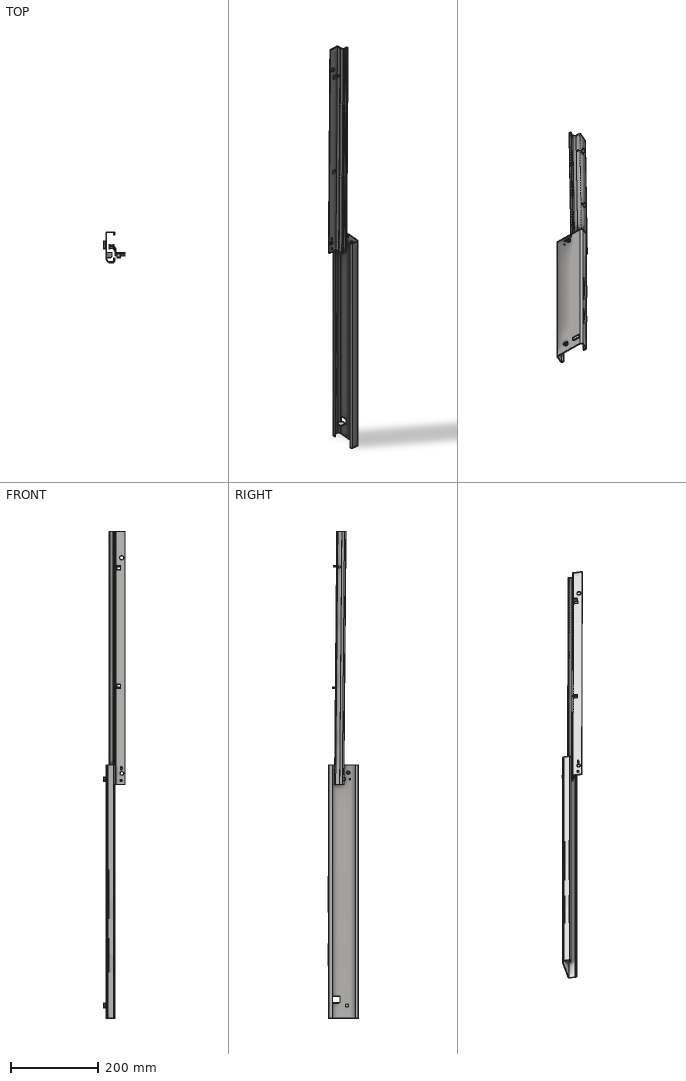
import cadquery as cq
import math

TOTAL_X = 49.43
TOTAL_Y = 70.8
TOTAL_Z = 1115.01

RAIL_LENGTH = 580.0
RAIL_X = 5.8
RAIL_DEPTH = 20.2
RAIL_WALL = 1.5
LIP_THICKNESS = 2.8
UPPER_LIP_REACH = 7.0
LOWER_LIP_REACH = 10.5
BEND_RADIUS = 2.6
BEVEL_X = 3.6
BEVEL_Y = 6.5
RAIL_INNER_X = RAIL_X + RAIL_WALL
RAIL_OPEN_X = RAIL_X + RAIL_DEPTH

PAD_PROFILES = [
    (228.0, 268.0, 302.0, 339.0),
    (106.0, 145.0, 148.0, 183.0),
]
PAD_HEIGHT = 1.7
PAD_X = 13.0
PAD_WIDTH = 10.2
FLANGE_Y = PAD_HEIGHT

STUDS = [
    (37.0, 547.5),
    (44.0, 29.5),
]
STUD_HEAD_DIAMETER = 11.0
STUD_HEAD_THICKNESS = 3.0
STUD_NECK_DIAMETER = 7.5
STUD_RECESS_DIAMETER = 5.0
STUD_RECESS_DEPTH = 1.0

UPPER_HOLE_DIAMETER = 4.0
UPPER_SINK_DIAMETER = 7.5
UPPER_SINK_DEPTH = 1.0
UPPER_HOLE_Y = 47.0
UPPER_HOLE_Z = 562.5
PIN_HOLE_DIAMETER = 3.0
PIN_HOLE_Y = 50.5
PIN_HOLE_Z = 547.5
NOTCH_Y = 33.7
NOTCH_WIDTH = 3.5
NOTCH_DEPTH = 10.0

WINDOW_Y = 11.0
WINDOW_WIDTH = 16.5
WINDOW_Z = 36.5
WINDOW_HEIGHT = 13.5
STOP_WIDTH = 13.0
STOP_THICKNESS = 2.6
STOP_REACH = 14.0
STOP_CHAMFER = 4.0

TILT_DEGREES = 0.5
INNER_FOOT_Y = 15.4
INNER_FOOT_Z = 535.0
INNER_LENGTH = (TOTAL_Z - INNER_FOOT_Z) / math.cos(math.radians(TILT_DEGREES))
PROFILE_HEIGHT = 21.4
HEAD_X = 12.6
HEAD_THICKNESS = 2.6
HEAD_HEIGHT = 5.0
WEB_Y = 17.2
SHEET = 2.6
UPRIGHT_X = 22.0
SLOPE_TOP_Y = 17.0
SLOPE_FOOT_Y = 11.0
WALL_X = 26.2
FOOT_BEND_RADIUS = 3.0

PLATE_HOLES = [
    (9.0, 41.5, 519.5),
    (8.0, 42.0, 26.0),
    (4.0, 40.5, 9.5),
]
SLOT_X = 41.0
SLOT_ALONG = 37.5
SLOT_LENGTH = 6.5
SLOT_WIDTH = 3.0

LANCED_TABS = [
    (498.5, 492.0),
    (220.0, 223.2),
]
TAB_X = 30.5
TAB_WIDTH = 8.5
TAB_THICKNESS = 3.2
TAB_REACH = 6.5
TAB_OPENING_LENGTH = 6.5

WALL_OPENING_Y = 4.5
WALL_OPENING_ALONG = 496.5
WALL_OPENING_SIZE = 4.0


def box(x, y, z, size_x, size_y, size_z):
    """A box from its lowest corner and its sizes."""
    return cq.Workplane("XY").box(size_x, size_y, size_z, centered=False).translate((x, y, z))


def x_cylinder(diameter, y, z, x, length):
    """A cylinder along +X."""
    return cq.Workplane("YZ", origin=(x, y, z)).circle(diameter / 2).extrude(length)


def channel():
    """The rolled C section along the whole outer rail."""
    lip_x = RAIL_OPEN_X - LIP_THICKNESS
    inner_bottom = FLANGE_Y + RAIL_WALL
    inner_top = TOTAL_Y - RAIL_WALL
    section = [
        (RAIL_X + BEVEL_X, FLANGE_Y),
        (RAIL_OPEN_X, FLANGE_Y),
        (RAIL_OPEN_X, LOWER_LIP_REACH),
        (lip_x, LOWER_LIP_REACH),
        (lip_x, inner_bottom),
        (RAIL_INNER_X + BEVEL_X, inner_bottom),
        (RAIL_INNER_X, FLANGE_Y + BEVEL_Y),
        (RAIL_INNER_X, inner_top),
        (lip_x, inner_top),
        (lip_x, TOTAL_Y - UPPER_LIP_REACH),
        (RAIL_OPEN_X, TOTAL_Y - UPPER_LIP_REACH),
        (RAIL_OPEN_X, TOTAL_Y),
        (RAIL_X, TOTAL_Y),
        (RAIL_X, FLANGE_Y + BEVEL_Y),
    ]
    body = cq.Workplane("XY").polyline(section).close().extrude(RAIL_LENGTH)
    body = body.edges("|Z and >Y").fillet(BEND_RADIUS)
    return body.edges("|Z and <Y and >X").fillet(BEND_RADIUS)


def flange_pad(profile):
    """One ramped pad standing out of the lower flange towards -Y."""
    foot_low, crest_low, crest_high, foot_high = profile
    outline = [
        (FLANGE_Y, foot_low),
        (0, crest_low),
        (0, crest_high),
        (FLANGE_Y, foot_high),
    ]
    return cq.Workplane("YZ", origin=(PAD_X, 0, 0)).polyline(outline).close().extrude(PAD_WIDTH)


def stud(y, z):
    """A headed stud reaching from the web out to X = 0."""
    head = x_cylinder(STUD_HEAD_DIAMETER, y, z, 0, STUD_HEAD_THICKNESS)
    neck = x_cylinder(STUD_NECK_DIAMETER, y, z, STUD_HEAD_THICKNESS, RAIL_INNER_X - STUD_HEAD_THICKNESS)
    recess = x_cylinder(STUD_RECESS_DIAMETER, y, z, 0, STUD_RECESS_DEPTH)
    return head.union(neck).cut(recess)


def countersunk_hole():
    """A cutter for the upper web hole, countersunk from the outside."""
    hole = x_cylinder(UPPER_HOLE_DIAMETER, UPPER_HOLE_Y, UPPER_HOLE_Z, RAIL_X, RAIL_WALL)
    sink = (
        cq.Workplane("YZ", origin=(RAIL_X, UPPER_HOLE_Y, UPPER_HOLE_Z))
        .circle(UPPER_SINK_DIAMETER / 2)
        .workplane(offset=UPPER_SINK_DEPTH)
        .circle(UPPER_HOLE_DIAMETER / 2)
        .loft()
    )
    return hole.union(sink)


def stop_tab():
    """The tab bent inwards from the lower edge of the web window."""
    tab = box(RAIL_X, WINDOW_Y, WINDOW_Z - STOP_THICKNESS, STOP_REACH, STOP_WIDTH, STOP_THICKNESS)
    return tab.edges("|Z and >X and <Y").chamfer(STOP_CHAMFER)


def build_outer_rail():
    rail = channel()
    for profile in PAD_PROFILES:
        rail = rail.union(flange_pad(profile))
    for y, z in STUDS:
        rail = rail.union(stud(y, z))
    rail = rail.cut(countersunk_hole())
    rail = rail.cut(x_cylinder(PIN_HOLE_DIAMETER, PIN_HOLE_Y, PIN_HOLE_Z, RAIL_X, RAIL_WALL))
    notch_low_y = NOTCH_Y - NOTCH_WIDTH / 2
    rail = rail.cut(
        box(RAIL_X, notch_low_y, RAIL_LENGTH - NOTCH_DEPTH, RAIL_WALL, NOTCH_WIDTH, NOTCH_DEPTH)
    )
    rail = rail.cut(box(RAIL_X, WINDOW_Y, WINDOW_Z, RAIL_WALL, WINDOW_WIDTH, WINDOW_HEIGHT))
    return rail.union(stop_tab())


def inner_section():
    """The folded inner section along Z, with the plate's -Y face at Y = 0."""
    head = box(HEAD_X, PROFILE_HEIGHT - HEAD_HEIGHT, 0, HEAD_THICKNESS, HEAD_HEIGHT, INNER_LENGTH)
    web = box(HEAD_X, WEB_Y, 0, UPRIGHT_X + SHEET - HEAD_X, SHEET, INNER_LENGTH)
    slope_angle = math.atan2(WALL_X - UPRIGHT_X, SLOPE_TOP_Y - SLOPE_FOOT_Y)
    slope_rise = SHEET * math.tan(slope_angle / 2)
    sheet_outline = [
        (UPRIGHT_X, PROFILE_HEIGHT),
        (UPRIGHT_X, SLOPE_TOP_Y),
        (WALL_X, SLOPE_FOOT_Y),
        (WALL_X, 0),
        (TOTAL_X, 0),
        (TOTAL_X, SHEET),
        (WALL_X + SHEET, SHEET),
        (WALL_X + SHEET, SLOPE_FOOT_Y + slope_rise),
        (UPRIGHT_X + SHEET, SLOPE_TOP_Y + slope_rise),
        (UPRIGHT_X + SHEET, PROFILE_HEIGHT),
    ]
    sheet = cq.Workplane("XY").polyline(sheet_outline).close().extrude(INNER_LENGTH)
    foot_bend = cq.selectors.NearestToPointSelector((WALL_X, 0, INNER_LENGTH / 2))
    sheet = sheet.edges(foot_bend).fillet(FOOT_BEND_RADIUS)
    return sheet.union(head).union(web)


def plate_hole(diameter, x, along):
    """A cutter for a round hole through the mounting plate."""
    return cq.Workplane("XZ", origin=(x, SHEET, along)).circle(diameter / 2).extrude(SHEET)


def plate_slot():
    """A cutter for the slot near the plate's lower end."""
    sketch = cq.Workplane("XZ", origin=(SLOT_X, SHEET, SLOT_ALONG))
    return sketch.slot2D(SLOT_LENGTH, SLOT_WIDTH, 90).extrude(SHEET)


def build_inner_rail():
    rail = inner_section()
    for diameter, x, along in PLATE_HOLES:
        rail = rail.cut(plate_hole(diameter, x, along))
    rail = rail.cut(plate_slot())
    rail = rail.cut(
        box(WALL_X, WALL_OPENING_Y, WALL_OPENING_ALONG, SHEET, WALL_OPENING_SIZE, WALL_OPENING_SIZE)
    )
    for tab_z, opening_z in LANCED_TABS:
        rail = rail.cut(box(TAB_X, 0, opening_z, TAB_WIDTH, SHEET, TAB_OPENING_LENGTH))
        rail = rail.union(box(TAB_X, -TAB_REACH, tab_z, TAB_WIDTH, TAB_REACH + SHEET, TAB_THICKNESS))
    tilted = rail.rotate((0, 0, 0), (1, 0, 0), -TILT_DEGREES)
    return tilted.translate((0, INNER_FOOT_Y, INNER_FOOT_Z))


outer_rail = build_outer_rail()
inner_rail = build_inner_rail()
result = cq.Compound.makeCompound([outer_rail.val(), inner_rail.val()])